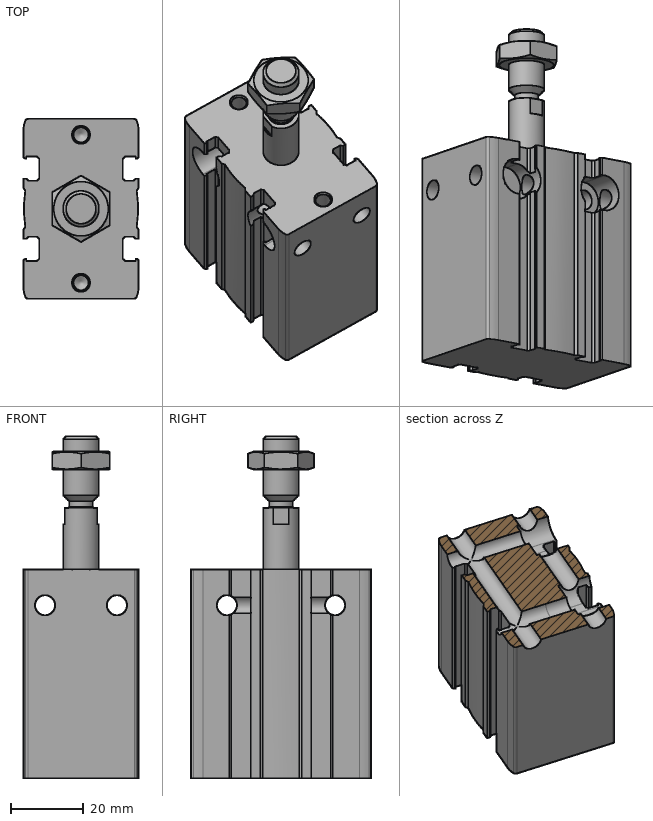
import cadquery as cq
import math


HOUSING_X = 32.0
HOUSING_Y = 50.0
HOUSING_HEIGHT = 58.0
TOTAL_HEIGHT = 95.0

END_FLAT_HALF = 14.7
SHOULDER_X = 15.5
SHOULDER_Y = 24.4
FLANK_END_Y = 21.7
LIP_STEP_Y = 5.8
BULGE_EDGE_Y = 5.0
BULGE_EDGE_X = 15.5
BULGE_MID_X = 15.9

SLOT_DEPTH = 4.4
SLOT_MOUTH_INNER_Y = 8.4
SLOT_MOUTH_OUTER_Y = 13.9
SLOT_UNDERCUT = 0.6
LIP_THICKNESS = 0.9
LIP_CHAMFER = 0.5
SLOT_CORNER = 0.6

MOUNT_DIAMETER = 5.5
MOUNT_DROP = 10.0
MOUNT_X = 10.0
MOUNT_Y = 15.0
POCKET_WIDTH = 10.0
POCKET_SHIFT = 3.0
POCKET_DEPTH = 9.5

TAP_Y = 20.5
TAP_DIAMETER = 4.2
TAP_MOUTH_DIAMETER = 5.0
TAP_DEPTH = 7.6
TAP_TIP_ANGLE = 120.0

ROD_DIAMETER = 10.0
ROD_TOP = 75.05
FLAT_LENGTH = 4.5
ACROSS_ROD_FLATS = 9.0

NECK_DIAMETER = 6.65
NECK_TOP = 76.95
NECK_FOOT_DIAMETER = 7.1
NECK_FOOT_HEIGHT = 0.3
STUD_CHAMFER = 0.9

NUT_ACROSS_FLATS = 16.0
NUT_THICKNESS = 5.0
NUT_BOTTOM = 85.7
NUT_FACE_DIAMETER = 15.1
NUT_BEVEL_ANGLE = 20.0

HALF_X = HOUSING_X / 2
HALF_Y = HOUSING_Y / 2
MOUNT_Z = HOUSING_HEIGHT - MOUNT_DROP
ROD_RADIUS = ROD_DIAMETER / 2
NECK_RADIUS = NECK_DIAMETER / 2


def extruded_quarter():
    """One quarter of the housing, before the slots and holes are cut."""
    bulge_sag = BULGE_MID_X - BULGE_EDGE_X
    bulge_radius = (BULGE_EDGE_Y**2 + bulge_sag**2) / (2 * bulge_sag)
    mid_y = BULGE_EDGE_Y / 2
    mid_x = BULGE_MID_X - bulge_radius + math.sqrt(bulge_radius**2 - mid_y**2)
    return (
        cq.Workplane("XY")
        .lineTo(BULGE_MID_X, 0)
        .threePointArc((mid_x, mid_y), (BULGE_EDGE_X, BULGE_EDGE_Y))
        .lineTo(HALF_X, LIP_STEP_Y)
        .lineTo(HALF_X, FLANK_END_Y)
        .tangentArcPoint((SHOULDER_X, SHOULDER_Y), relative=False)
        .tangentArcPoint((END_FLAT_HALF, HALF_Y), relative=False)
        .lineTo(0, HALF_Y)
        .close()
        .extrude(HOUSING_HEIGHT)
    )


def quarter_slot():
    """Cutter for the T-shaped slot of one quarter, with the outer lip chamfered."""
    floor_x = HALF_X - SLOT_DEPTH
    lip_x = HALF_X - LIP_THICKNESS
    inner_y = SLOT_MOUTH_INNER_Y - SLOT_UNDERCUT
    outer_y = SLOT_MOUTH_OUTER_Y + SLOT_UNDERCUT
    return (
        cq.Workplane("XY")
        .moveTo(HALF_X, SLOT_MOUTH_INNER_Y)
        .lineTo(lip_x, SLOT_MOUTH_INNER_Y)
        .lineTo(lip_x - SLOT_UNDERCUT, inner_y)
        .lineTo(floor_x + SLOT_CORNER, inner_y)
        .lineTo(floor_x, inner_y + SLOT_CORNER)
        .lineTo(floor_x, outer_y - SLOT_CORNER)
        .lineTo(floor_x + SLOT_CORNER, outer_y)
        .lineTo(lip_x, outer_y)
        .lineTo(lip_x, SLOT_MOUTH_OUTER_Y)
        .lineTo(HALF_X - LIP_CHAMFER, SLOT_MOUTH_OUTER_Y)
        .lineTo(HALF_X, SLOT_MOUTH_OUTER_Y + LIP_CHAMFER)
        .close()
        .extrude(HOUSING_HEIGHT)
    )


def tapped_hole(y):
    """Cutter for a blind hole with a drill-tip bottom and a countersunk mouth."""
    radius = TAP_DIAMETER / 2
    mouth_radius = TAP_MOUTH_DIAMETER / 2
    tip_length = radius / math.tan(math.radians(TAP_TIP_ANGLE / 2))
    profile = (
        cq.Workplane("XZ")
        .lineTo(mouth_radius, 0)
        .lineTo(radius, radius - mouth_radius)
        .lineTo(radius, -TAP_DEPTH)
        .lineTo(0, -TAP_DEPTH - tip_length)
        .close()
    )
    return profile.revolve(360, (0, 0), (0, 1)).translate((0, y, HOUSING_HEIGHT))


def mounting_pocket(side):
    """Cutter for the oblong screw-head pocket in the -X face, reaching from the hole toward Y = 0."""
    centre_y = side * (MOUNT_Y - POCKET_SHIFT / 2)
    return (
        cq.Workplane("YZ", origin=(-HALF_X, centre_y, MOUNT_Z))
        .slot2D(POCKET_WIDTH + POCKET_SHIFT, POCKET_WIDTH)
        .extrude(POCKET_DEPTH)
    )


def make_housing():
    quarter = extruded_quarter().cut(quarter_slot())
    half = quarter.union(quarter.mirror("XZ"))
    housing = half.union(half.mirror("YZ"))
    for side in (-1, 1):
        along_y = (
            cq.Workplane("XZ", origin=(side * MOUNT_X, 0, MOUNT_Z))
            .circle(MOUNT_DIAMETER / 2)
            .extrude(HALF_Y, both=True)
        )
        along_x = (
            cq.Workplane("YZ", origin=(0, side * MOUNT_Y, MOUNT_Z))
            .circle(MOUNT_DIAMETER / 2)
            .extrude(HALF_X, both=True)
        )
        housing = housing.cut(along_y).cut(along_x)
        housing = housing.cut(mounting_pocket(side)).cut(tapped_hole(side * TAP_Y))
    return housing


def make_rod():
    """Plain rod standing on the housing, with two wrench flats facing -X and +X."""
    flat_bottom = ROD_TOP - FLAT_LENGTH
    shank = (
        cq.Workplane("XY", origin=(0, 0, HOUSING_HEIGHT))
        .circle(ROD_RADIUS)
        .extrude(flat_bottom - HOUSING_HEIGHT)
    )
    flatted_end = (
        cq.Workplane("XY", origin=(0, 0, flat_bottom))
        .circle(ROD_RADIUS)
        .extrude(FLAT_LENGTH)
        .intersect(
            cq.Workplane("XY", origin=(0, 0, flat_bottom))
            .rect(ACROSS_ROD_FLATS, ROD_DIAMETER)
            .extrude(FLAT_LENGTH)
        )
    )
    return shank.union(flatted_end)


def make_stud():
    """Stud on the rod end: narrow neck, conical shoulder and a chamfered tip."""
    shoulder_top = NECK_TOP + ROD_RADIUS - NECK_RADIUS
    return (
        cq.Workplane("XZ")
        .moveTo(0, ROD_TOP)
        .lineTo(NECK_FOOT_DIAMETER / 2, ROD_TOP)
        .lineTo(NECK_RADIUS, ROD_TOP + NECK_FOOT_HEIGHT)
        .lineTo(NECK_RADIUS, NECK_TOP)
        .lineTo(ROD_RADIUS, shoulder_top)
        .lineTo(ROD_RADIUS, TOTAL_HEIGHT - STUD_CHAMFER)
        .lineTo(ROD_RADIUS - STUD_CHAMFER, TOTAL_HEIGHT)
        .lineTo(0, TOTAL_HEIGHT)
        .close()
        .revolve(360, (0, 0), (0, 1))
    )


def make_nut():
    """Hexagon nut with corners on the Y axis, bevelled on both faces."""
    across_corners = NUT_ACROSS_FLATS / math.cos(math.radians(30))
    face_radius = NUT_FACE_DIAMETER / 2
    corner_radius = across_corners / 2
    bevel_drop = (corner_radius - face_radius) * math.tan(math.radians(NUT_BEVEL_ANGLE))
    hexagon = (
        cq.Workplane("XY")
        .polygon(6, across_corners)
        .extrude(NUT_THICKNESS)
        .rotate((0, 0, 0), (0, 0, 1), 90)
    )
    bevel = (
        cq.Workplane("XZ")
        .lineTo(face_radius, 0)
        .lineTo(corner_radius, bevel_drop)
        .lineTo(corner_radius, NUT_THICKNESS - bevel_drop)
        .lineTo(face_radius, NUT_THICKNESS)
        .lineTo(0, NUT_THICKNESS)
        .close()
        .revolve(360, (0, 0), (0, 1))
    )
    bore = cq.Workplane("XY").circle(ROD_RADIUS).extrude(NUT_THICKNESS)
    return hexagon.intersect(bevel).cut(bore).translate((0, 0, NUT_BOTTOM))


housing = make_housing()
rod = make_rod()
stud = make_stud()
nut = make_nut()

result = cq.Compound.makeCompound([housing.val(), rod.val(), stud.val(), nut.val()])